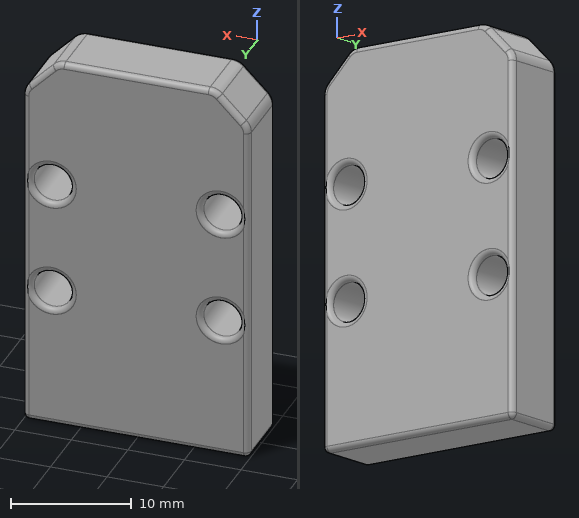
import cadquery as cq

width = 20.0
thickness = 6.0
height = 34.2
corner_chamfer = 3.0
corner_radius = 1.5
edge_radius = 0.5

hole_diameter = 3.4
hole_mouth_radius = 0.5
hole_spacing_x = 15.0
hole_spacing_z = 10.0
lower_hole_height = 12.6

front_y = -thickness / 2
back_y = thickness / 2


def make_plate():
    """Rounded plate, centred in X and Y, standing on Z = 0."""
    plate = cq.Workplane("XY").box(width, thickness, height, centered=(True, True, False))
    plate = plate.edges("|Y and >Z").chamfer(corner_chamfer)
    plate = plate.edges("|Y").edges("not <Z").fillet(corner_radius)
    return plate.edges("<Y or >Y or (|Y and <Z)").fillet(edge_radius)


def make_hole_cutter(x, z):
    """Through-hole cutter that flares out along a quarter round at both faces."""
    hole_radius = hole_diameter / 2
    mouth_radius = hole_radius + hole_mouth_radius
    profile = (
        cq.Workplane("XY")
        .moveTo(0, front_y)
        .lineTo(mouth_radius, front_y)
        .radiusArc((hole_radius, front_y + hole_mouth_radius), hole_mouth_radius)
        .lineTo(hole_radius, back_y - hole_mouth_radius)
        .radiusArc((mouth_radius, back_y), hole_mouth_radius)
        .lineTo(0, back_y)
        .close()
    )
    return profile.revolve(360, (0, 0), (0, 1)).translate((x, 0, z))


result = make_plate()
for hole_x in (-hole_spacing_x / 2, hole_spacing_x / 2):
    for hole_z in (lower_hole_height, lower_hole_height + hole_spacing_z):
        result = result.cut(make_hole_cutter(hole_x, hole_z))